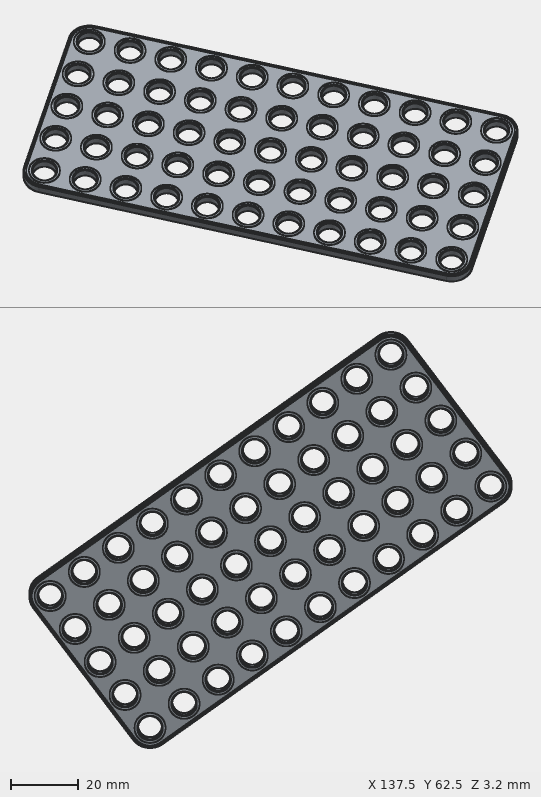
import cadquery as cq

length = 137.5
columns = 11
rows = 5
pitch = length / columns
width = rows * pitch
thickness = 3.2
corner_radius = pitch / 2

chamfer = 0.3

hole_diameter = 7.0
ring_diameter = 9.2

border_width = 0.8
panel_depth = 0.2


def rounded_slab(inset, bottom, height):
    """Slab with the plate outline moved inward by inset."""
    return (
        cq.Workplane("XY")
        .workplane(offset=bottom)
        .rect(length - 2 * inset, width - 2 * inset)
        .extrude(height)
        .edges("|Z")
        .fillet(corner_radius - inset)
    )


def on_hole_grid(shape):
    """Copy a shape made at the origin to every hole centre."""
    grid = cq.Workplane("XY").rarray(pitch, pitch, columns, rows)
    return grid.eachpoint(lambda place: shape.val().moved(place))


def make_hole_cutter():
    """Through hole with a chamfered mouth at each end."""
    hole_radius = hole_diameter / 2
    mouth_radius = hole_radius + chamfer
    profile = [
        (0, 0),
        (mouth_radius, 0),
        (hole_radius, chamfer),
        (hole_radius, thickness - chamfer),
        (mouth_radius, thickness),
        (0, thickness),
    ]
    return cq.Workplane("XZ").polyline(profile).close().revolve(360, (0, 0, 0), (0, 1, 0))


def make_panel_cutter(bottom):
    """Recess inside the border that leaves the hole rings standing."""
    ring = cq.Workplane("XY").workplane(offset=bottom).circle(ring_diameter / 2).extrude(panel_depth)
    return rounded_slab(border_width, bottom, panel_depth).cut(on_hole_grid(ring))


plate = rounded_slab(0, 0, thickness).faces("<Z or >Z").edges().chamfer(chamfer)
for panel_bottom in (0, thickness - panel_depth):
    plate = plate.cut(make_panel_cutter(panel_bottom))

result = plate.cut(on_hole_grid(make_hole_cutter()))